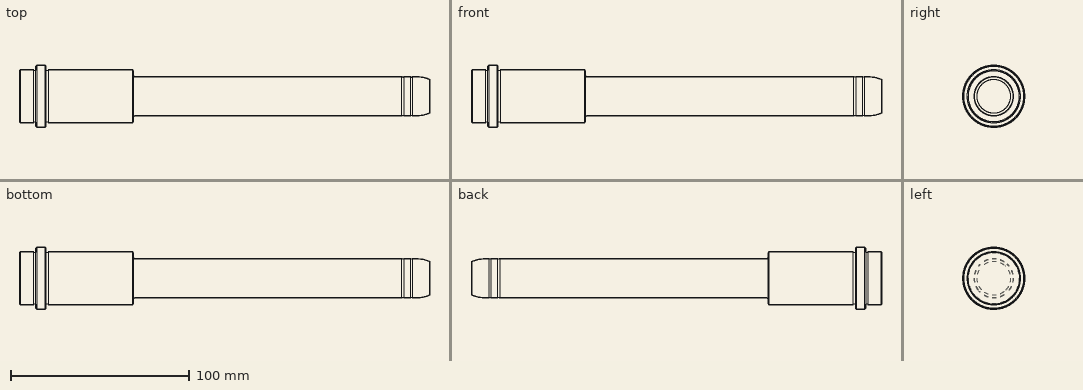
import cadquery as cq

total_length = 230.0
body_radius = 30.0 / 2
flange_radius = 35.0 / 2
shaft_radius = 22.0 / 2
tip_radius = 18.9 / 2
head_chamfer = 0.5

flange_start = 9.0
flange_end = 15.0
flange_chamfer = 0.7
relief_width = 1.2
relief_depth = 0.5

body_end = 64.0
body_chamfer = 0.7
root_fillet = 0.7

groove_centers = (214.8, 219.6)
groove_width = 1.4
groove_depth = 0.2
nose_start = 222.6

relief_radius = body_radius - relief_depth
groove_half = groove_width / 2

profile = (
    cq.Workplane("XY")
    .lineTo(0, body_radius - head_chamfer)
    .lineTo(head_chamfer, body_radius)
    .lineTo(flange_start - relief_width, body_radius)
    .lineTo(flange_start - relief_width, relief_radius)
    .lineTo(flange_start, relief_radius)
    .lineTo(flange_start, flange_radius - flange_chamfer)
    .lineTo(flange_start + flange_chamfer, flange_radius)
    .lineTo(flange_end - flange_chamfer, flange_radius)
    .lineTo(flange_end, flange_radius - flange_chamfer)
    .lineTo(flange_end, relief_radius)
    .lineTo(flange_end + relief_width, relief_radius)
    .lineTo(flange_end + relief_width, body_radius)
    .lineTo(body_end - body_chamfer, body_radius)
    .lineTo(body_end, body_radius - body_chamfer)
    .lineTo(body_end, shaft_radius + root_fillet)
    .radiusArc((body_end + root_fillet, shaft_radius), -root_fillet)
)
for center in groove_centers:
    profile = profile.lineTo(center - groove_half, shaft_radius).threePointArc(
        (center, shaft_radius - groove_depth), (center + groove_half, shaft_radius)
    )
profile = (
    profile.lineTo(nose_start, shaft_radius)
    .tangentArcPoint((total_length, tip_radius), relative=False)
    .lineTo(total_length, 0)
    .close()
)

result = profile.revolve(360, (0, 0, 0), (1, 0, 0))